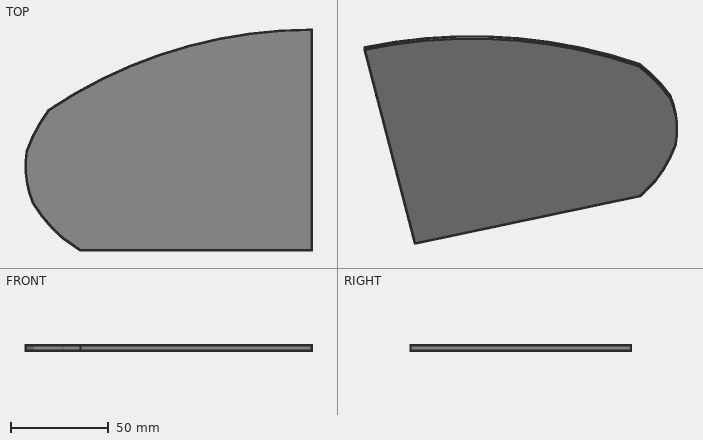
import cadquery as cq
import math

length = 146.7
width = 113.1
thickness = 3.0

tip_radius = 49.1
tip_center_y = 43.3
tip_top_y = 50.7
tip_bottom_y = 24.2

shoulder_y = 71.9
lower_corner = (19.0, 6.3)
base_start = (28.2, 0.0)

crown_radius = 241.0

upper_bulge = 0.9
lower_bulge = 0.9


def tip_point(y):
    """Point on the tip arc at height y."""
    return (tip_radius - math.sqrt(tip_radius**2 - (y - tip_center_y)**2), y)


def crown_point(y):
    """Point on the left half of the crown arc at height y."""
    center_y = width - crown_radius
    return (length - math.sqrt(crown_radius**2 - (y - center_y)**2), y)


def bulge_point(start, end, bulge):
    """Middle of an arc that bulges to the right of the direction of travel."""
    dx = end[0] - start[0]
    dy = end[1] - start[1]
    chord = math.hypot(dx, dy)
    mid_x = (start[0] + end[0]) / 2
    mid_y = (start[1] + end[1]) / 2
    return (mid_x + bulge * dy / chord, mid_y - bulge * dx / chord)


shoulder = crown_point(shoulder_y)
crown_middle = crown_point((shoulder_y + width) / 2)
tip_top = tip_point(tip_top_y)
tip_bottom = tip_point(tip_bottom_y)

result = (
    cq.Workplane("XY")
    .moveTo(*base_start)
    .lineTo(length, 0)
    .lineTo(length, width)
    .threePointArc(crown_middle, shoulder)
    .threePointArc(bulge_point(shoulder, tip_top, upper_bulge), tip_top)
    .threePointArc((0, tip_center_y), tip_bottom)
    .threePointArc(bulge_point(tip_bottom, lower_corner, lower_bulge), lower_corner)
    .close()
    .extrude(thickness)
)